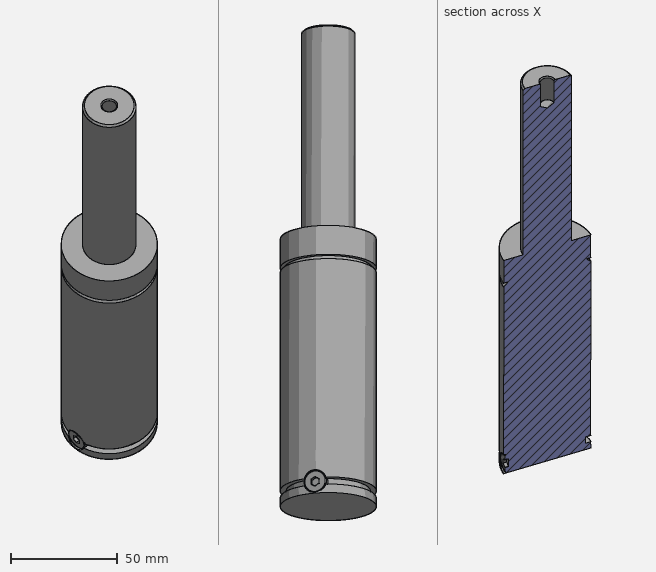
import cadquery as cq
import math

total_height = 232.0
body_radius = 22.5
body_top = 130.5

foot_height = 4.2
foot_groove_width = 3.5
foot_groove_depth = 2.8

head_height = 14.2
head_groove_depth = 2.0

rod_radius = 12.5
rod_chamfer = 1.0
tap_diameter = 6.7
tap_mouth_diameter = 8.0
tap_depth = 14.0
drill_point_angle = 118.0

plug_diameter = 11.0
plug_face_diameter = 10.0
plug_height = 6.0
plug_face_y = -21.8
plug_length = 7.0
socket_across_flats = 4.0
socket_depth = 1.9


def make_body():
    """Revolve the cylinder and rod, with both grooves."""
    foot_groove_top = foot_height + foot_groove_width
    foot_groove_radius = body_radius - foot_groove_depth
    head_bottom = body_top - head_height
    head_groove_radius = body_radius - head_groove_depth
    profile = [
        (0, 0),
        (body_radius, 0),
        (body_radius, foot_height),
        (foot_groove_radius, foot_height),
        (foot_groove_radius, foot_groove_top),
        (body_radius, foot_groove_top),
        (body_radius, head_bottom - head_groove_depth),
        (head_groove_radius, head_bottom),
        (body_radius, head_bottom),
        (body_radius, body_top),
        (rod_radius, body_top),
        (rod_radius, total_height - rod_chamfer),
        (rod_radius - rod_chamfer, total_height),
        (0, total_height),
    ]
    return cq.Workplane("XZ").polyline(profile).close().revolve(360, (0, 0), (0, 1))


def make_tapped_hole():
    """Countersunk blind hole with a drill point, ready to be cut from the rod."""
    tap_radius = tap_diameter / 2
    mouth_radius = tap_mouth_diameter / 2
    point_depth = tap_radius / math.tan(math.radians(drill_point_angle / 2))
    hole_bottom = total_height - tap_depth
    profile = [
        (0, total_height),
        (mouth_radius, total_height),
        (tap_radius, total_height - (mouth_radius - tap_radius)),
        (tap_radius, hole_bottom),
        (0, hole_bottom - point_depth),
    ]
    return cq.Workplane("XZ").polyline(profile).close().revolve(360, (0, 0), (0, 1))


def front_cylinder(diameter, front_y, length):
    """Cylinder on the plug axis, running inward along +Y from front_y."""
    return (
        cq.Workplane("XZ", origin=(0, front_y, plug_height))
        .circle(diameter / 2)
        .extrude(-length)
    )


def add_plug(body):
    """Spot-face the body, set the chamfered plug in it and cut its hex socket."""
    spot_face = front_cylinder(plug_diameter, -body_radius, plug_length)
    plug_chamfer = (plug_diameter - plug_face_diameter) / 2
    plug = (
        front_cylinder(plug_diameter, plug_face_y, plug_length)
        .faces("<Y")
        .chamfer(plug_chamfer)
    )
    across_corners = socket_across_flats / math.cos(math.radians(30))
    socket = (
        cq.Workplane("XZ", origin=(0, plug_face_y, plug_height))
        .transformed(rotate=(0, 0, 90))
        .polygon(6, across_corners)
        .extrude(-socket_depth)
    )
    return body.cut(spot_face).union(plug).cut(socket)


result = add_plug(make_body().cut(make_tapped_hole()))